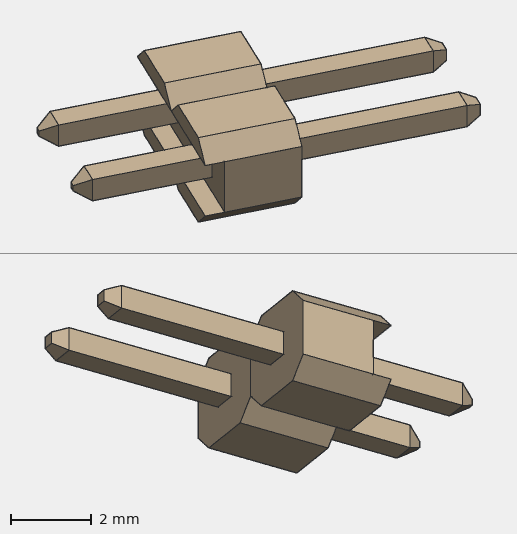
import cadquery as cq

PIN_COUNT = 2
PITCH = 2.54

HOUSING_SIZE = PITCH
CORNER_CUT = 0.51
RECESS_DEPTH = 0.51
RECESS_HEIGHT = HOUSING_SIZE - 2 * CORNER_CUT

PIN_LENGTH = 10.67
PIN_WIDTH = 0.64
FRONT_REACH = 3.05
FRONT_TAPER_LENGTH = 0.43
FRONT_TIP_WIDTH = 0.16
BACK_TAPER_LENGTH = 0.41
BACK_TIP_WIDTH = 0.32

PIN_FRONT = -PIN_LENGTH / 2
PIN_BACK = PIN_LENGTH / 2
HOUSING_FRONT = PIN_FRONT + FRONT_REACH
HOUSING_CENTRE = HOUSING_FRONT + HOUSING_SIZE / 2


def plane_at(y, x_centre):
    """Plane across the pin axis, with its normal along +Y."""
    return cq.Plane(origin=(x_centre, y, 0), xDir=(1, 0, 0), normal=(0, 1, 0))


def make_taper(x_centre, y_start, width_start, y_end, width_end):
    """Square pyramid frustum along +Y."""
    return (
        cq.Workplane(plane_at(y_start, x_centre))
        .rect(width_start, width_start)
        .workplane(offset=y_end - y_start)
        .rect(width_end, width_end)
        .loft(ruled=True)
    )


def make_pin(x_centre):
    """Square pin with a sharp front tip and a blunter back tip."""
    bar_front = PIN_FRONT + FRONT_TAPER_LENGTH
    bar_back = PIN_BACK - BACK_TAPER_LENGTH
    bar = (
        cq.Workplane(plane_at(bar_front, x_centre))
        .rect(PIN_WIDTH, PIN_WIDTH)
        .extrude(bar_back - bar_front)
    )
    front_tip = make_taper(x_centre, PIN_FRONT, FRONT_TIP_WIDTH, bar_front, PIN_WIDTH)
    back_tip = make_taper(x_centre, bar_back, PIN_WIDTH, PIN_BACK, BACK_TIP_WIDTH)
    return bar.union(front_tip).union(back_tip)


def make_housing(x_centre):
    """Housing with cut corners, a recess across its front and a fitted pin hole."""
    body = (
        cq.Workplane("XY")
        .box(HOUSING_SIZE, HOUSING_SIZE, HOUSING_SIZE)
        .edges("|Y")
        .chamfer(CORNER_CUT)
        .translate((x_centre, HOUSING_CENTRE, 0))
    )
    recess = (
        cq.Workplane(plane_at(HOUSING_FRONT, x_centre))
        .rect(HOUSING_SIZE, RECESS_HEIGHT)
        .extrude(RECESS_DEPTH)
    )
    pin_hole = (
        cq.Workplane(plane_at(HOUSING_FRONT, x_centre))
        .rect(PIN_WIDTH, PIN_WIDTH)
        .extrude(HOUSING_SIZE)
    )
    return body.cut(recess).cut(pin_hole)


housings = []
pins = []
for index in range(PIN_COUNT):
    x_position = (index - (PIN_COUNT - 1) / 2) * PITCH
    housings.append(make_housing(x_position).val())
    pins.append(make_pin(x_position).val())

result = cq.Compound.makeCompound([*housings, *pins])